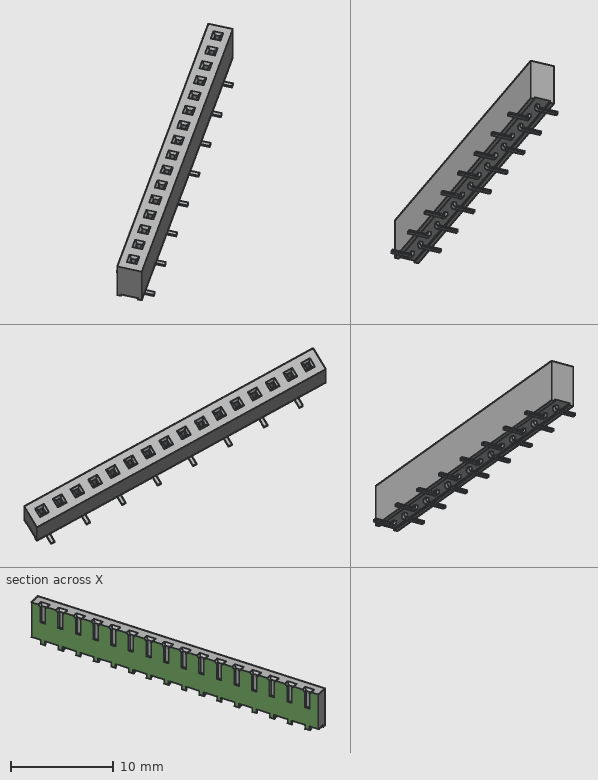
import cadquery as cq

contact_count = 16
pitch = 2.0
first_contact_y = -pitch * (contact_count - 1) / 2

overall_height = 4.6
housing_width = 2.5
end_margin = 0.3
housing_length = contact_count * pitch + 2 * end_margin
standoff = 0.3
channel_width = 1.7
channel_top = 0.5

hole_side = 0.5
hole_depth = 3.0
lead_in_depth = 0.25
lead_in_side = hole_side + 2 * lead_in_depth

lead_span = 4.3
foot_width = 0.4
foot_thickness = 0.2
upright_width = 0.5
upright_thickness = 0.3
inner_bend_radius = 0.1
outer_bend_radius = 0.3
upright_top = 2.6


def make_housing():
    """Long block with a channel along its underside."""
    block = (
        cq.Workplane("XY", origin=(0, 0, standoff))
        .box(housing_width, housing_length, overall_height - standoff, centered=(True, True, False))
    )
    channel = (
        cq.Workplane("XY", origin=(0, 0, standoff))
        .box(channel_width, housing_length, channel_top - standoff, centered=(True, True, False))
    )
    return block.cut(channel)


def make_socket(y):
    """Cutting shape for one socket opening in the top face."""
    lead_in = (
        cq.Workplane("XY", origin=(0, y, overall_height))
        .rect(lead_in_side, lead_in_side)
        .workplane(offset=-lead_in_depth)
        .rect(hole_side, hole_side)
        .loft(ruled=True)
    )
    hole = (
        cq.Workplane("XY", origin=(0, y, overall_height - hole_depth))
        .box(hole_side, hole_side, hole_depth, centered=(True, True, False))
    )
    return lead_in.union(hole)


def make_lead(y, side):
    """L-shaped lead whose foot points toward +X (side = 1) or -X (side = -1)."""
    inner_x = -side * upright_thickness / 2
    outer_x = side * upright_thickness / 2
    tip_x = side * lead_span / 2
    bend_end_x = outer_x + side * inner_bend_radius
    upright = (
        cq.Workplane("XZ", origin=(0, y + upright_width / 2, 0))
        .moveTo(bend_end_x, 0)
        .lineTo(inner_x + side * outer_bend_radius, 0)
        .radiusArc((inner_x, outer_bend_radius), side * outer_bend_radius)
        .lineTo(inner_x, upright_top)
        .lineTo(outer_x, upright_top)
        .lineTo(outer_x, foot_thickness + inner_bend_radius)
        .radiusArc((bend_end_x, foot_thickness), -side * inner_bend_radius)
        .close()
        .extrude(upright_width)
    )
    foot_length = abs(tip_x - bend_end_x)
    foot = (
        cq.Workplane("XY", origin=((tip_x + bend_end_x) / 2, y, 0))
        .box(foot_length, foot_width, foot_thickness, centered=(True, True, False))
    )
    return upright.union(foot)


result = make_housing()
for index in range(contact_count):
    contact_y = first_contact_y + index * pitch
    foot_side = 1 if index % 2 == 0 else -1
    result = result.cut(make_socket(contact_y))
    result = result.union(make_lead(contact_y, foot_side))